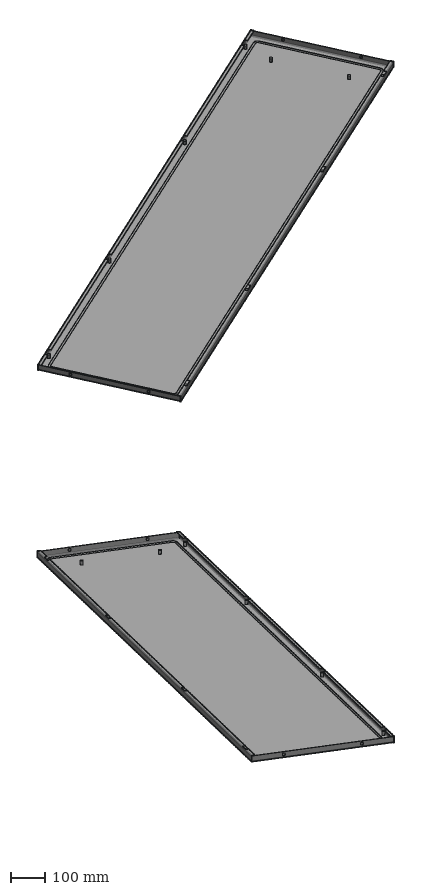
import cadquery as cq

length = 1761.0
sheet = 1.5
bend_radius = 2.8
floor_width = 440.0
web_height = 16.0
lip_width = 9.0
end_wall_height = 20.0
height = web_height + 2 * bend_radius
half_floor_width = floor_width / 2
half_floor_length = length / 2 - bend_radius
inner_bend_radius = bend_radius - sheet

notch_width = 26.0
post_diameter = 9.0
post_height = 12.0
post_x = 213.0
post_y = [-814.0, -312.0, 312.0, 814.0]

fastener_x = 122.0
fastener_diameter = 9.0
stud_y = 780.0
stud_height = 12.0
plug_z = height / 2

gasket_radius = 3.3
gasket_span = 396.0
gasket_length = 1713.0
gasket_corner_radius = 10.0


def mirrored_pair(shape, plane):
    """Join a shape and its reflection."""
    return shape.union(shape.mirror(plane))


def floor_and_end_walls():
    """Floor with a plain wall bent up at each end."""
    half_section = (
        cq.Workplane("YZ")
        .lineTo(half_floor_length, 0)
        .radiusArc((length / 2, bend_radius), -bend_radius)
        .lineTo(length / 2, end_wall_height)
        .lineTo(length / 2 - sheet, end_wall_height)
        .lineTo(length / 2 - sheet, bend_radius)
        .radiusArc((half_floor_length, sheet), inner_bend_radius)
        .lineTo(0, sheet)
        .close()
    )
    return mirrored_pair(half_section.extrude(half_floor_width, both=True), "XZ")


def side_wall():
    """Side wall at +X: bend, web, second bend and lip turned inwards."""
    outer_x = half_floor_width + bend_radius
    lip_edge_x = half_floor_width - lip_width
    return (
        cq.Workplane("XZ")
        .moveTo(half_floor_width, 0)
        .radiusArc((outer_x, bend_radius), -bend_radius)
        .lineTo(outer_x, height - bend_radius)
        .radiusArc((half_floor_width, height), -bend_radius)
        .lineTo(lip_edge_x, height)
        .lineTo(lip_edge_x, height - sheet)
        .lineTo(half_floor_width, height - sheet)
        .radiusArc((outer_x - sheet, height - bend_radius), inner_bend_radius)
        .lineTo(outer_x - sheet, bend_radius)
        .radiusArc((half_floor_width, sheet), inner_bend_radius)
        .close()
        .extrude(length / 2, both=True)
    )


def lip_notches():
    centres = [(side * (half_floor_width - lip_width / 2), y) for side in (-1, 1) for y in post_y]
    return (
        cq.Workplane("XY", origin=(0, 0, height - sheet))
        .pushPoints(centres)
        .rect(lip_width, notch_width)
        .extrude(sheet)
    )


def posts():
    centres = [(side * post_x, y) for side in (-1, 1) for y in post_y]
    return (
        cq.Workplane("XY", origin=(0, 0, sheet))
        .pushPoints(centres)
        .circle(post_diameter / 2)
        .extrude(post_height)
    )


def make_plug(x, start_y):
    """Disc filling a hole in an end wall, running from start_y towards -Y through the sheet."""
    return (
        cq.Workplane("XZ", origin=(x, start_y, plug_z))
        .circle(fastener_diameter / 2)
        .extrude(sheet)
    )


def make_pan(plugs):
    pan = floor_and_end_walls().union(mirrored_pair(side_wall(), "YZ")).cut(lip_notches()).union(posts())
    for plug in plugs:
        pan = pan.cut(plug)
    return pan


def make_stud(x):
    return (
        cq.Workplane("XY", origin=(x, stud_y, sheet))
        .circle(fastener_diameter / 2)
        .extrude(stud_height)
    )


def make_gasket():
    """Half-round bead swept round a rectangle with rounded corners."""
    half_span = gasket_span / 2
    half_length = gasket_length / 2
    straight_x = half_span - gasket_corner_radius
    straight_y = half_length - gasket_corner_radius
    path = (
        cq.Workplane("XY", origin=(0, 0, sheet))
        .moveTo(half_span, 0)
        .lineTo(half_span, straight_y)
        .radiusArc((straight_x, half_length), -gasket_corner_radius)
        .lineTo(-straight_x, half_length)
        .radiusArc((-half_span, straight_y), -gasket_corner_radius)
        .lineTo(-half_span, -straight_y)
        .radiusArc((-straight_x, -half_length), -gasket_corner_radius)
        .lineTo(straight_x, -half_length)
        .radiusArc((half_span, -straight_y), -gasket_corner_radius)
        .close()
    )
    return (
        cq.Workplane("XZ", origin=(half_span, 0, sheet))
        .moveTo(-gasket_radius, 0)
        .threePointArc((0, gasket_radius), (gasket_radius, 0))
        .close()
        .sweep(path)
    )


plugs = [
    make_plug(x, start_y)
    for x in (-fastener_x, fastener_x)
    for start_y in (sheet - length / 2, length / 2)
]
studs = [make_stud(x) for x in (-fastener_x, fastener_x)]
pan = make_pan(plugs)
gasket = make_gasket()

result = cq.Compound.makeCompound(
    [pan.val(), gasket.val(), *[stud.val() for stud in studs], *[plug.val() for plug in plugs]]
)